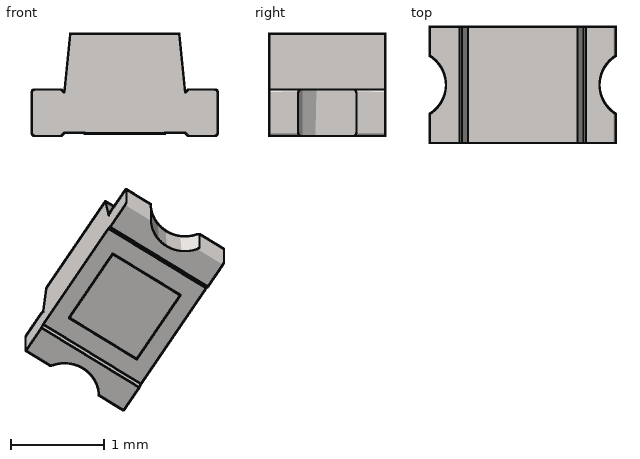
import cadquery as cq

length = 2.0
width = 1.25
height = 1.1

terminal_height = 0.5
plating = 0.035
terminal_length = 0.355
corner_radius = 0.035
inner_edge_bevel = 0.035

lens_base_length = 1.3
lens_top_length = 1.172

mark_size = 0.865
mark_thickness = 0.015

notch_radius = 0.365
notch_depth = 0.175

substrate_top = terminal_height - plating


def centred_box(size_x, size_y, bottom, top):
    """Block centred in X and Y between two heights."""
    return cq.Workplane("XY").workplane(offset=bottom).rect(size_x, size_y).extrude(top - bottom)


def make_base():
    """Substrate and rounded end caps, whose lips bevel down to the substrate."""
    base = centred_box(length, width, 0, terminal_height).edges("|Y").fillet(corner_radius)
    gap_outer = length / 2 - terminal_length + inner_edge_bevel
    gap_inner = gap_outer - inner_edge_bevel
    for face, surface in ((terminal_height, substrate_top), (0, plating)):
        gap = (
            cq.Workplane("XZ")
            .polyline([(-gap_outer, face), (gap_outer, face), (gap_inner, surface), (-gap_inner, surface)])
            .close()
            .extrude(width / 2, both=True)
        )
        base = base.cut(gap)
    return base


def make_lens():
    """Block whose end faces lean inward toward the top."""
    return (
        cq.Workplane("XZ")
        .polyline([
            (-lens_base_length / 2, substrate_top),
            (lens_base_length / 2, substrate_top),
            (lens_top_length / 2, height),
            (-lens_top_length / 2, height),
        ])
        .close()
        .extrude(width / 2, both=True)
    )


def make_notches():
    """Vertical cylinders centred beyond the ends."""
    centre = length / 2 - notch_depth + notch_radius
    return (
        cq.Workplane("XY")
        .pushPoints([(-centre, 0), (centre, 0)])
        .circle(notch_radius)
        .extrude(terminal_height)
    )


mark = centred_box(mark_size, mark_size, plating - mark_thickness, plating)
result = make_base().union(make_lens()).union(mark).cut(make_notches())